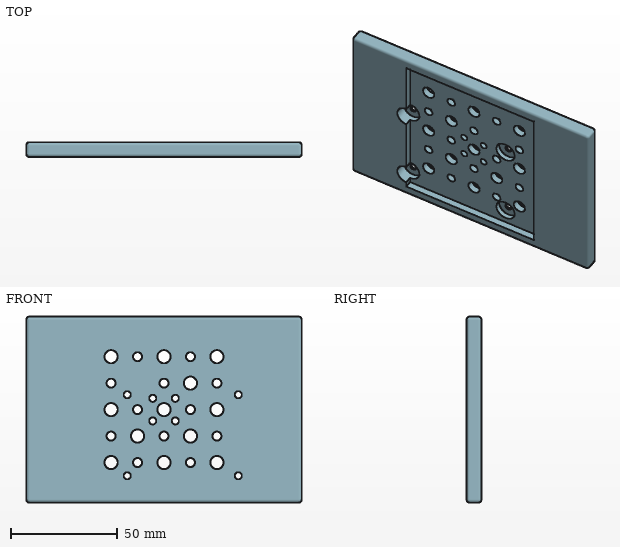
import cadquery as cq

WIDTH = 130.0
THICKNESS = 7.2
HEIGHT = 87.9
EDGE_RADIUS = 1.5

PITCH = 12.5
LARGE_DIAMETER = 6.1
SMALL_DIAMETER = 4.2
GRID = ("LsLsL", "s.sLs", "LsLsL", "sLsLs", "LsLsL")

SCREW_DIAMETER = 3.2
SCREW_OFFSET = 5.3

MOUNT_SPACING_X = 52.4
MOUNT_SPACING_Z = 38.2
MOUNT_CENTRE_X = 8.8
MOUNT_CENTRE_Z = -12.1
MOUNT_BORE_DIAMETER = 10.0
MOUNT_WEB = 1.0

POCKET_WIDTH = 70.2
POCKET_HEIGHT = 78.0
FLOOR_THICKNESS = 3.6


def cylinders(points, diameter, front=-THICKNESS / 2):
    """Cylinders at (x, z) points, from the given Y to the back face."""
    depth = THICKNESS / 2 - front
    plane = cq.Workplane("XZ", origin=(0, front, 0))
    return plane.pushPoints(points).circle(diameter / 2).extrude(-depth)


def grid_points(kind):
    """Centres of the grid holes of one kind."""
    middle = (len(GRID) - 1) / 2
    return [
        ((column - middle) * PITCH, (middle - row) * PITCH)
        for row, marks in enumerate(GRID)
        for column, mark in enumerate(marks)
        if mark == kind
    ]


def rectangle_points(centre_x, centre_z, spacing_x, spacing_z):
    """The four corners of a rectangle."""
    return [
        (centre_x + side_x * spacing_x / 2, centre_z + side_z * spacing_z / 2)
        for side_x in (-1, 1)
        for side_z in (-1, 1)
    ]


plate = cq.Workplane("XY").box(WIDTH, THICKNESS, HEIGHT).edges().fillet(EDGE_RADIUS)

screw_points = rectangle_points(0, 0, 2 * SCREW_OFFSET, 2 * SCREW_OFFSET)
mount_points = rectangle_points(
    MOUNT_CENTRE_X, MOUNT_CENTRE_Z, MOUNT_SPACING_X, MOUNT_SPACING_Z
)

pocket_depth = THICKNESS - FLOOR_THICKNESS
pocket = cq.Workplane("XY").box(POCKET_WIDTH, pocket_depth, POCKET_HEIGHT)
plate = plate.cut(pocket.translate((0, FLOOR_THICKNESS / 2, 0)))

plate = plate.cut(cylinders(grid_points("L"), LARGE_DIAMETER))
plate = plate.cut(cylinders(grid_points("s"), SMALL_DIAMETER))
plate = plate.cut(cylinders(screw_points + mount_points, SCREW_DIAMETER))

bore_start = -THICKNESS / 2 + MOUNT_WEB
result = plate.cut(cylinders(mount_points, MOUNT_BORE_DIAMETER, bore_start))